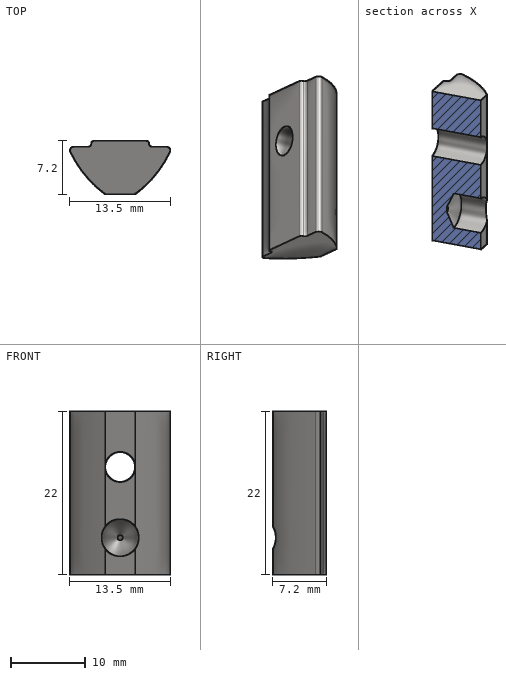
import cadquery as cq
import math

length = 22.0
width = 13.5
height = 7.2

nose_width = 4.0
neck_width = 7.8
neck_height = 0.8
neck_round_radius = neck_height / 2
shoulder_edge_radius = 0.5
flank_radius = 15.0

screw_hole_diameter = 4.0
screw_hole_z = 14.5

pocket_diameter = 5.0
pocket_z = 5.0
pocket_wall_depth = 4.0
pocket_tip_diameter = 0.7
pocket_cone_angle = 130.0


def point_on_circle(center, radius, angle):
    """Point at the given angle (radians, from +X) on a circle."""
    return (center[0] + radius * math.cos(angle), center[1] + radius * math.sin(angle))


def direction_angle(start, end):
    """Angle (radians, from +X) of the direction from start to end."""
    return math.atan2(end[1] - start[1], end[0] - start[0])


def flank_arc_center(nose_corner, shoulder_center):
    """Center of the flank arc that leaves the nose corner and runs tangent into the shoulder round."""
    run = shoulder_center[0] - nose_corner[0]
    rise = shoulder_center[1] - nose_corner[1]
    distance = math.hypot(run, rise)
    shoulder_distance = flank_radius - shoulder_edge_radius
    along = (distance**2 + flank_radius**2 - shoulder_distance**2) / (2 * distance)
    across = math.sqrt(flank_radius**2 - along**2)
    center_x = nose_corner[0] + (along * run - across * rise) / distance
    center_y = nose_corner[1] + (along * rise + across * run) / distance
    return (center_x, center_y)


def make_body():
    """Extrude the half section along Z and mirror it across the YZ plane."""
    neck_x = neck_width / 2
    shoulder_y = height - neck_height
    nose_corner = (nose_width / 2, 0)
    shoulder_center = (width / 2 - shoulder_edge_radius, shoulder_y - shoulder_edge_radius)
    root_center = (neck_x + neck_round_radius, shoulder_y + neck_round_radius)
    edge_center = (neck_x - neck_round_radius, height - neck_round_radius)

    flank_center = flank_arc_center(nose_corner, shoulder_center)
    nose_angle = direction_angle(flank_center, nose_corner)
    tangent_angle = direction_angle(flank_center, shoulder_center)
    up_angle = math.radians(90)
    flank_middle = point_on_circle(flank_center, flank_radius, (nose_angle + tangent_angle) / 2)
    flank_top = point_on_circle(flank_center, flank_radius, tangent_angle)
    shoulder_middle = point_on_circle(shoulder_center, shoulder_edge_radius, (tangent_angle + up_angle) / 2)
    root_middle = point_on_circle(root_center, neck_round_radius, math.radians(225))
    edge_middle = point_on_circle(edge_center, neck_round_radius, math.radians(45))

    half_section = (
        cq.Workplane("XY")
        .moveTo(0, 0)
        .lineTo(*nose_corner)
        .threePointArc(flank_middle, flank_top)
        .threePointArc(shoulder_middle, (shoulder_center[0], shoulder_y))
        .lineTo(root_center[0], shoulder_y)
        .threePointArc(root_middle, (neck_x, root_center[1]))
        .threePointArc(edge_middle, (edge_center[0], height))
        .lineTo(0, height)
        .close()
    )
    half_body = half_section.extrude(length)
    return half_body.union(half_body.mirror("YZ")).clean()


def make_screw_hole():
    """Cylinder along Y, passing through the whole height."""
    axis_start = cq.Vector(0, 0, screw_hole_z)
    hole = cq.Solid.makeCylinder(screw_hole_diameter / 2, height, axis_start, cq.Vector(0, 1, 0))
    return cq.Workplane(obj=hole)


def make_pocket():
    """Drilled pocket revolved about its Y axis, entering from the nose flat."""
    radius = pocket_diameter / 2
    tip_radius = pocket_tip_diameter / 2
    cone_depth = (radius - tip_radius) / math.tan(math.radians(pocket_cone_angle / 2))
    tip_depth = pocket_wall_depth + cone_depth
    return (
        cq.Workplane("XY", origin=(0, 0, pocket_z))
        .moveTo(0, 0)
        .lineTo(radius, 0)
        .lineTo(radius, pocket_wall_depth)
        .lineTo(tip_radius, tip_depth)
        .lineTo(0, tip_depth)
        .close()
        .revolve(360, (0, 0, 0), (0, 1, 0))
    )


result = make_body().cut(make_screw_hole()).cut(make_pocket())